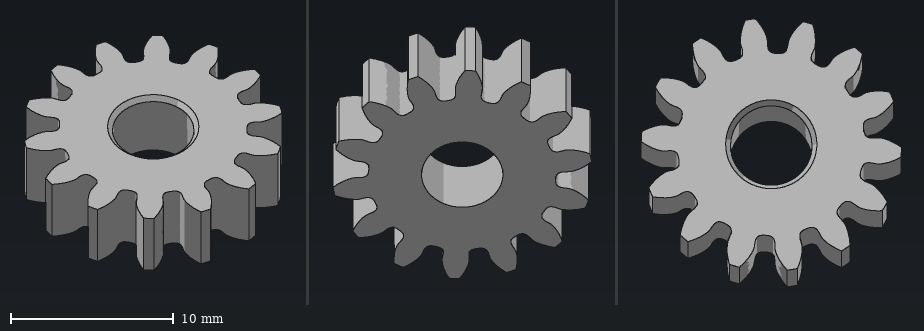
import cadquery as cq
import math

teeth = 14
module = 1.0
pressure_angle = math.radians(20)
thickness = 4.5
bore_radius = 2.5
bore_chamfer = 0.3
root_fillet = 0.45 * module
flank_samples = 6

pitch_radius = module * teeth / 2
tip_radius = pitch_radius + module
root_radius = pitch_radius - 1.25 * module
base_radius = pitch_radius * math.cos(pressure_angle)


def involute(angle):
    return math.tan(angle) - angle


base_half_angle = math.pi / (2 * teeth) + involute(pressure_angle)

fillet_center_radius = root_radius + root_fillet
fillet_angle = math.asin(root_fillet / fillet_center_radius)
fillet_start_radius = math.sqrt(fillet_center_radius**2 - root_fillet**2)
fillet_end_angle = base_half_angle + fillet_angle


def polar(radius, angle):
    return (radius * math.cos(angle), radius * math.sin(angle))


def fillet_middle():
    """Middle of the root fillet, as radius and angle from the tooth axis."""
    to_flank = base_half_angle - math.pi / 2
    to_root = fillet_end_angle - math.pi
    direction = (to_flank + to_root) / 2
    center_x, center_y = polar(fillet_center_radius, fillet_end_angle)
    x = center_x + root_fillet * math.cos(direction)
    y = center_y + root_fillet * math.sin(direction)
    return math.hypot(x, y), math.atan2(y, x)


def involute_flank():
    """Flank points from base to tip, as radius and angle from the tooth axis."""
    max_roll = math.sqrt((tip_radius / base_radius) ** 2 - 1)
    points = []
    for i in range(flank_samples + 1):
        roll = max_roll * i / flank_samples
        radius = base_radius * math.sqrt(1 + roll**2)
        points.append((radius, base_half_angle - involute(math.atan(roll))))
    return points


def gear_outline():
    """Arcs over the tooth tips, joined by one smooth curve through each gap."""
    pitch_step = 2 * math.pi / teeth
    lower_flank = [fillet_middle(), (fillet_start_radius, base_half_angle)]
    half_tooth = lower_flank + involute_flank()
    tip_angle = half_tooth[-1][1]
    first_axis = math.pi / 2
    outline = cq.Workplane("XY").moveTo(*polar(tip_radius, first_axis - tip_angle))
    for i in range(teeth):
        axis = first_axis + i * pitch_step
        next_axis = axis + pitch_step
        falling = [polar(radius, axis + angle) for radius, angle in reversed(half_tooth)]
        gap_bottom = polar(root_radius, axis + pitch_step / 2)
        rising = [polar(radius, next_axis - angle) for radius, angle in half_tooth]
        outline = outline.threePointArc(polar(tip_radius, axis), falling[0])
        outline = outline.spline(falling[1:] + [gap_bottom] + rising, includeCurrent=True)
    return outline.close()


def chamfered_bore():
    """Through bore, widened by a 45 degree chamfer at the top face."""
    bore = cq.Workplane("XY").circle(bore_radius).extrude(thickness)
    countersink = cq.Solid.makeCone(
        bore_radius,
        bore_radius + bore_chamfer,
        bore_chamfer,
        pnt=cq.Vector(0, 0, thickness - bore_chamfer),
    )
    return bore.union(cq.Workplane(countersink))


result = gear_outline().extrude(thickness).cut(chamfered_bore())